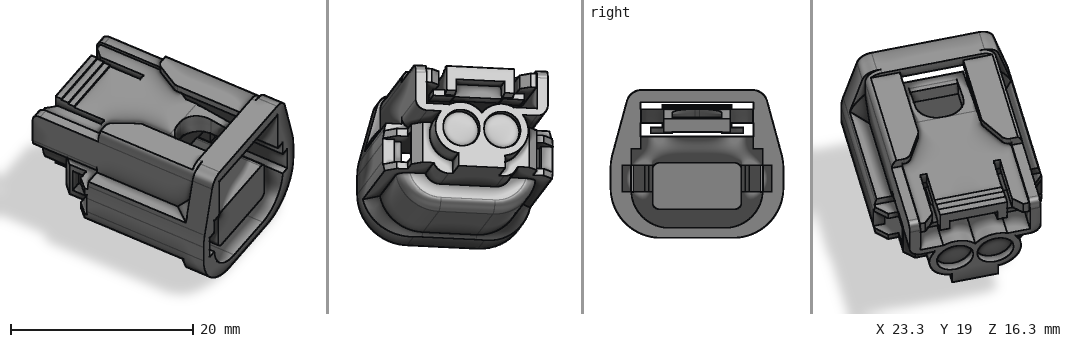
import cadquery as cq
import math


length = 23.25
width = 19.0
body_front_x = 8.25
collar_x = 20.23
rim_x = 20.75

half_width = width / 2
height = 16.25
shell_bottom_radius = 5.53
shell_shoulder_z = 8.42
shell_top_half_width = 7.37
shell_shoulder_radius = 6.28
shell_top_radius = 1.7
flange_bottom_z = 4.28
flange_top_z = 9.76

lower_bottom_z = 0.42
lower_half_flat = 3.02
lower_radius = 4.88
lower_centre_z = lower_bottom_z + lower_radius
lower_front_fillet = 1.28
flare_x = 18.83
flare_growth = 1.65

channel_half_width = 7.4
channel_inner_half_width = 6.18
channel_bottom_z = 9.28
channel_floor_z = 10.07
sill_z = 11.15
channel_bottom_radius = 1.25
channel_top_radius = 1.77
front_wall_top_z = 14.53
front_wall_radius = 0.93

rail_front_x = 8.42
rail_bottom_z = 14.88
rail_top_z = 15.75
rail_inner_y = 3.58
rail_narrow_x = 11.62
rail_angle = 30.0
rail_corner_radius = 1.0

tube_y = 2.28
tube_z = 7.49
tube_radius = 2.9
bore_radius = 2.05
bore_depth = 0.88
keel_half_width = 2.6
keel_bottom_z = 3.16
block_x = 3.45
block_top_z = 8.81
belly_half_flat = 3.1
belly_radius = 1.75
ear_front_half_width = 5.93
ear_wall_y = 7.02
ear_wall_x = 4.53
ear_flange_x = 6.67
ear_flange_y = 8.2
ear_tip_x = 8.02
ear_tip_y = half_width

window_bottom_z = 5.05
window_top_z = 7.97
window_front_x = 4.93
window_step_x = 6.95
window_front_depth_y = 5.72
window_rear_depth_y = 5.3
pocket_end_x = 9.23

side_channel_x = 8.46
side_channel_inner_y = 4.88
cavity_x = 13.95
cavity_wall = 0.67
core_end_x = 22.32
core_top_z = 8.23
core_radius = 0.72
cavity_half_width = lower_half_flat + lower_radius - cavity_wall

gusset_x = 18.67
gusset_y = 9.11
gusset_z = 12.32
gusset_bulge = 0.56
gusset_tip_scale = 0.01

deck_top_z = 14.14
deck_bottom_z = 12.6
deck_front_x = 0.46
deck_corner_y = 5.53
deck_notch_x = 1.49
slot_inner_y = 3.8
slot_outer_y = 4.5
slot_end_x = 7.05
deck_wide_end_x = 8.77
tail_start_x = 13.02
tail_half_width = 3.67
tail_bend_x = 14.3
tail_end_z = 13.1
tail_bottom_z = 11.6
lip_front_x = 0.77
step_ends_x = (1.53, 2.4, 3.16)
lip_top_z = 14.62
lip_front_bottom_z = 11.88
lip_bottom_z = 11.6
lip_recess_half_width = 2.7
lip_recess_top_z = 13.15
lip_recess_foot_x = 2.46
lip_recess_top_x = 3.02
bar_front_x = 1.8
bar_rear_x = 4.28
bar_half_width = 5.1
bar_bottom_z = 11.46
bar_top_z = 12.14
eye_front_x = tail_bend_x
eye_rear_x = 19.72
eye_ledge_x = 19.13
eye_wall_foot_x = 18.95
eye_half_width = 2.7
eye_radius = 2.46

join_overlap = 0.46
pick_margin = 0.02


def box(x0, x1, y0, y1, z0, z1):
    return cq.Workplane("XY").box(x1 - x0, y1 - y0, z1 - z0, centered=False).translate((x0, y0, z0))


def centred_box(x0, x1, half_width, z0, z1):
    return box(x0, x1, -half_width, half_width, z0, z1)


def both_sides(solid):
    return solid.union(solid.mirror("XZ"))


def side_profile(points, half_width):
    """Extrude an XZ outline symmetrically about Y = 0."""
    return cq.Workplane("XZ").polyline(points).close().extrude(half_width, both=True)


def plan_profile(points, z0, z1):
    """Extrude an XY outline between two heights."""
    return cq.Workplane("XY", origin=(0, 0, z0)).polyline(points).close().extrude(z1 - z0)


def edges_within(low, high):
    """Selector for edges whose centres lie in the box between two corners."""
    return cq.selectors.BoxSelector([v - pick_margin for v in low], [v + pick_margin for v in high])


def shell_prism(x0, x1):
    """Full outer outline: tapered sides, rounded top corners and a round underside."""
    points = [
        (-half_width, 0),
        (half_width, 0),
        (half_width, shell_shoulder_z),
        (shell_top_half_width, height),
        (-shell_top_half_width, height),
        (-half_width, shell_shoulder_z),
    ]
    prism = cq.Workplane("YZ", origin=(x0, 0, 0)).polyline(points).close().extrude(x1 - x0)
    corner_radii = {0: shell_bottom_radius, shell_shoulder_z: shell_shoulder_radius, height: shell_top_radius}
    for z, radius in corner_radii.items():
        corners = edges_within((x0, -length, z), (x1, length, z))
        prism = prism.edges("|X").edges(corners).fillet(radius)
    return prism


def lower_outline(workplane, growth):
    """Flat-bottomed outline with quarter-round sides, grown outwards by the given amount."""
    radius = lower_radius + growth
    bottom_z = lower_centre_z - radius
    side_y = lower_half_flat + radius
    middle_y = lower_half_flat + radius * math.sqrt(0.5)
    middle_z = lower_centre_z - radius * math.sqrt(0.5)
    return (
        workplane.moveTo(-lower_half_flat, bottom_z)
        .lineTo(lower_half_flat, bottom_z)
        .threePointArc((middle_y, middle_z), (side_y, lower_centre_z))
        .lineTo(-side_y, lower_centre_z)
        .threePointArc((-middle_y, middle_z), (-lower_half_flat, bottom_z))
        .close()
    )


def lower_body():
    start = cq.Workplane("YZ", origin=(body_front_x, 0, 0))
    trough = lower_outline(start, 0).extrude(flare_x - body_front_x)
    below_top = lower_centre_z - 2 * pick_margin
    front_edges = edges_within((body_front_x, -length, 0), (body_front_x, length, below_top))
    trough = trough.edges(front_edges).fillet(lower_front_fillet)
    flare = lower_outline(cq.Workplane("YZ", origin=(flare_x, 0, 0)), 0)
    flare = lower_outline(flare.workplane(offset=rim_x - flare_x), flare_growth).loft(ruled=True)
    return trough.union(flare.intersect(shell_prism(flare_x, rim_x)))


def channel():
    """Upper block with rounded lower edges; stepped down ahead of the rails and between rails and collar."""
    block = centred_box(0, rim_x, channel_half_width, channel_bottom_z, height)
    block = block.edges("|X and >Z").fillet(channel_top_radius)
    front_part = block.intersect(centred_box(0, body_front_x, length, 0, length))
    front_part = front_part.edges("|X and <Z").fillet(channel_bottom_radius)
    block = front_part.union(block.intersect(centred_box(body_front_x, rim_x, length, 0, length)))
    block = block.cut(centred_box(0, rail_front_x, length, front_wall_top_z, length))
    block = block.edges("|Y and <X").edges(">Z").fillet(front_wall_radius)
    return block.cut(centred_box(rail_front_x, collar_x, length, rail_top_z, length))


def channel_openings():
    front = centred_box(0, body_front_x, channel_inner_half_width, channel_floor_z, rail_bottom_z)
    rear = centred_box(body_front_x, length, channel_inner_half_width, sill_z, rail_bottom_z)
    valley = centred_box(0, body_front_x, tube_y, channel_bottom_z, channel_floor_z)
    return front.union(rear).union(valley)


def taper_wide_y(front_x, narrow_x, narrow_y):
    """Half width at front_x of a gap that narrows at the rail angle."""
    return narrow_y + (narrow_x - front_x) * math.tan(math.radians(rail_angle))


def tapering_gap(front_x, narrow_x, narrow_y, x_end, z0, z1):
    """Prism as wide as the channel mouth up to front_x, then tapering to a parallel gap at narrow_x."""
    wide_y = taper_wide_y(front_x, narrow_x, narrow_y)
    mouth_x = rail_front_x - join_overlap
    mouth_y = channel_inner_half_width
    half = [
        (mouth_x, mouth_y),
        (front_x, mouth_y),
        (front_x, wide_y),
        (narrow_x, narrow_y),
        (x_end, narrow_y),
    ]
    return plan_profile(half + [(x, -y) for x, y in reversed(half)], z0, z1)


def rail_gap():
    """Space between the two rails, with the rail corners rounded."""
    gap = tapering_gap(rail_front_x, rail_narrow_x, rail_inner_y, collar_x, rail_bottom_z, rail_top_z)
    wide_y = taper_wide_y(rail_front_x, rail_narrow_x, rail_inner_y)
    corners = edges_within((rail_front_x, -wide_y, rail_bottom_z), (rail_narrow_x, wide_y, rail_top_z))
    return gap.edges("|Z").edges(corners).fillet(rail_corner_radius)


def wire_tubes():
    tubes = centred_box(0, block_x, keel_half_width, keel_bottom_z, tube_z)
    for y in (-tube_y, tube_y):
        tubes = tubes.union(cq.Workplane("YZ").center(y, tube_z).circle(tube_radius).extrude(body_front_x))
    return tubes


def tube_bores():
    centres = [(-tube_y, tube_z), (tube_y, tube_z)]
    return cq.Workplane("YZ").pushPoints(centres).circle(bore_radius).extrude(bore_depth)


def ear_block():
    """Block around the tubes whose sides step out into chamfered ears, with a rounded belly below."""
    half = [
        (block_x, ear_front_half_width),
        (ear_wall_x, ear_wall_y),
        (ear_flange_x, ear_wall_y),
        (ear_flange_x, ear_flange_y),
        (ear_tip_x, ear_tip_y),
        (body_front_x, ear_tip_y),
    ]
    outline = half + [(x, -y) for x, y in reversed(half)]
    ears = plan_profile(outline, flange_bottom_z, block_top_z).intersect(shell_prism(block_x, body_front_x))
    belly_half_width = belly_half_flat + belly_radius
    belly = centred_box(block_x, body_front_x, belly_half_width, keel_bottom_z, tube_z)
    return ears.union(belly.edges("|X and <Z").fillet(belly_radius))


def side_window():
    """Stepped pocket in one ear, opening into a tunnel that leads to the mating cavity."""
    bottom, top = window_bottom_z, window_top_z
    front = box(window_front_x, window_step_x, window_front_depth_y, ear_wall_y, bottom, top)
    rear = box(window_step_x, pocket_end_x, window_rear_depth_y, ear_flange_y, bottom, top)
    notch = box(ear_flange_x, body_front_x, ear_wall_y, half_width, bottom, top)
    tunnel = box(side_channel_x, cavity_x, side_channel_inner_y, cavity_half_width, bottom, top)
    return front.union(rear).union(notch).union(tunnel)


def mating_cavity():
    """Open rear cavity following the lower body, widened at window height, around a rounded core."""
    depth = length - cavity_x
    cavity = lower_outline(cq.Workplane("YZ", origin=(cavity_x, 0, 0)), -cavity_wall).extrude(depth)
    cavity = cavity.union(centred_box(cavity_x, length, cavity_half_width, lower_centre_z, flange_top_z))
    cavity = cavity.union(centred_box(cavity_x, length, channel_inner_half_width, lower_centre_z, sill_z))
    cavity = cavity.union(centred_box(cavity_x, length, ear_flange_y, window_bottom_z, window_top_z))
    core = centred_box(cavity_x, core_end_x, side_channel_inner_y, keel_bottom_z, core_top_z)
    return cavity.cut(core.edges("|X").fillet(core_radius))


def gusset():
    """Corner web joining the channel wall, the flange and the rim."""
    run = rim_x - gusset_x
    rise = gusset_z - flange_top_z
    reach = gusset_y - channel_half_width

    def section(workplane, scale):
        return (
            workplane.lineTo(scale * reach, 0)
            .threePointArc((scale * gusset_bulge * reach, scale * gusset_bulge * rise), (0, scale * rise))
            .close()
        )

    corner = (gusset_x, channel_half_width, flange_top_z)
    tip = section(cq.Workplane("YZ", origin=corner), gusset_tip_scale)
    return section(tip.workplane(offset=run, origin=corner), 1).loft(ruled=True)


def latch_deck():
    """Plate hung between the front walls, with a tail that slopes down between the rails."""
    half = [
        (rail_front_x, channel_inner_half_width),
        (deck_front_x, channel_inner_half_width),
        (deck_front_x, deck_corner_y),
        (deck_notch_x, slot_outer_y),
        (slot_end_x, slot_outer_y),
        (slot_end_x, slot_inner_y),
        (lip_front_x, slot_inner_y),
    ]
    outline = half + [(x, -y) for x, y in reversed(half)]
    plate = plan_profile(outline, deck_bottom_z, deck_top_z)
    tail_side = [
        (rail_front_x - join_overlap, deck_bottom_z),
        (tail_start_x, deck_bottom_z),
        (tail_bend_x, tail_bottom_z),
        (rim_x, tail_bottom_z),
        (rim_x, tail_end_z),
        (tail_bend_x, deck_top_z),
        (rail_front_x - join_overlap, deck_top_z),
    ]
    tail = side_profile(tail_side, channel_inner_half_width)
    gap = tapering_gap(deck_wide_end_x, tail_start_x, tail_half_width, rim_x, tail_bottom_z, deck_top_z)
    return plate.union(tail.intersect(gap))


def latch_eye():
    """Through opening in the tail: round at the front, with a flat ledge and a steep wall at the rear."""
    plan = centred_box(eye_front_x, eye_rear_x, eye_half_width, tail_bottom_z, deck_top_z)
    plan = plan.edges("|Z and <X").fillet(eye_radius)
    tail_slope = (deck_top_z - tail_end_z) / (rim_x - tail_bend_x)
    ledge_z = deck_top_z - tail_slope * (eye_rear_x - tail_bend_x)
    side = [
        (eye_front_x, tail_bottom_z),
        (eye_wall_foot_x, tail_bottom_z),
        (eye_ledge_x, ledge_z),
        (eye_rear_x, ledge_z),
        (eye_rear_x, deck_top_z),
        (eye_front_x, deck_top_z),
    ]
    return plan.intersect(side_profile(side, eye_half_width))


def latch_lip():
    """Finger grip stepped down to the deck, its undercut lip, and the stop bar beneath."""
    step = (lip_top_z - deck_top_z) / len(step_ends_x)
    outline = [(lip_front_x, lip_front_bottom_z), (lip_front_x, lip_top_z)]
    for index, x in enumerate(step_ends_x):
        outline += [(x, lip_top_z - index * step), (x, lip_top_z - (index + 1) * step)]
    outline += [(bar_rear_x, deck_top_z), (bar_rear_x, lip_bottom_z), (bar_front_x, lip_bottom_z)]
    lip = side_profile(outline, slot_inner_y)
    return lip.union(centred_box(bar_front_x, bar_rear_x, bar_half_width, bar_bottom_z, bar_top_z))


def lip_recess():
    """Pocket under the middle of the lip, with a ramped rear wall, running on below the bar."""
    outline = [
        (lip_front_x, bar_bottom_z),
        (bar_rear_x, bar_bottom_z),
        (bar_rear_x, lip_bottom_z),
        (lip_recess_foot_x, lip_bottom_z),
        (lip_recess_top_x, lip_recess_top_z),
        (lip_front_x, lip_recess_top_z),
    ]
    return side_profile(outline, lip_recess_half_width)


flange = shell_prism(body_front_x, rim_x).intersect(
    centred_box(body_front_x, rim_x, length, flange_bottom_z, flange_top_z))
housing = shell_prism(rim_x, length).union(flange).union(lower_body()).union(channel())
housing = housing.union(both_sides(gusset()))
housing = housing.cut(channel_openings())
housing = housing.cut(rail_gap())
housing = housing.cut(mating_cavity())
housing = housing.union(wire_tubes()).union(ear_block())
housing = housing.cut(tube_bores()).cut(both_sides(side_window()))
latch = latch_deck().union(latch_lip()).cut(latch_eye()).cut(lip_recess())
result = housing.union(latch)